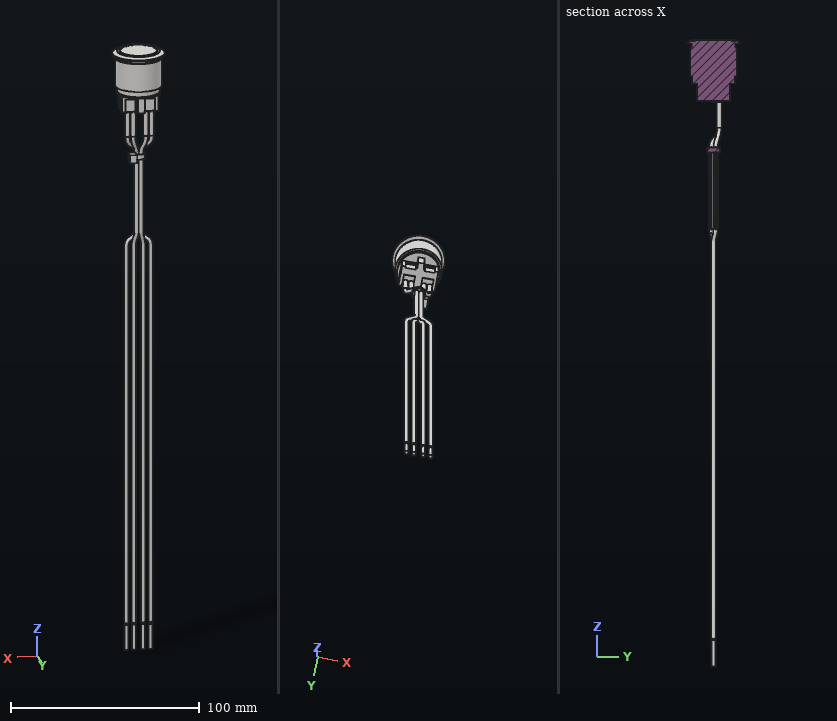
import cadquery as cq

FLANGE_DIA = 28.0
FLANGE_CREST_DIA = 23.1
FLANGE_RIM_DROP = 1.3
FLANGE_BOTTOM_Z = -2.2
BUTTON_DIA = 19.8
GROOVE_OUTER_DIA = 22.6
GROOVE_DEPTH = 0.5
NECK_DIA = 23.1
NECK_BOTTOM_Z = -4.0
BODY_DIA = 24.9
BODY_BOTTOM_Z = -19.4
COLLAR_DIA = 22.6
LIP_DIA = 23.1
LIP_HEIGHT = 0.9
COLLAR_BOTTOM_Z = -23.4

BLOCK_BOTTOM_Z = -32.5
BLOCK_WIDTH = 19.6
BLOCK_DEPTH = 11.0
RIB_WIDTH = 3.4
RIB_SPAN = 17.6
POCKET_WIDTH = 5.4
POCKET_CENTER_X = 5.2
POCKET_TOP_Z = -25.5
POCKET_DEPTH = 0.8
WINDOW_SIZE = 1.5
WINDOW_OFFSET_Y = 3.0
WINDOW_ROWS_Z = (-27.1, -30.2)
SLOT_WIDTH = 1.6
SLOT_HEIGHT = 4.9
SIDE_OPENING_DEPTH = 1.0
BOSS_X = (2.0, 8.0)
BOSS_Y = (-1.0, 4.2)
BOSS_HEIGHT = 0.7

WIRE_DIA = 2.4
WIRE_EMBED = 1.0
CORE_DIA = 1.75
FERRULE_DIA = 2.2
SLEEVE_DIA = 2.75
SLEEVE_BOTTOM_Z = -46.5
TERMINAL_INNER_X = 3.4
TERMINAL_OUTER_X = 6.5
TERMINAL_Y = 3.0
BUNDLE_OFFSET = 1.19
FAN_INNER_X = 2.5
FAN_OUTER_X = 6.5
BEND_TOP_Z = -47.0
BUNDLE_TOP_Z = -57.5
BUNDLE_BOTTOM_Z = -100.0
FAN_BOTTOM_Z = -108.0
INSULATION_END_Z = -317.2
FERRULE_TOP_Z = -318.2
CABLE_END_Z = -332.0

TIE_TOP_Z = -57.0
TIE_BOTTOM_Z = -59.8
TIE_DIA = 7.0
TIE_HEAD_X = (2.0, 5.7)
TIE_HEAD_Y = (1.5, 6.8)
TIE_HEAD_Z = (-60.5, -56.0)


def cylinder(diameter, top_z, bottom_z, x=0.0, y=0.0):
    return cq.Workplane("XY", origin=(x, y, bottom_z)).circle(diameter / 2).extrude(top_z - bottom_z)


def box_between(x_range, y_range, z_range):
    size = [high - low for low, high in (x_range, y_range, z_range)]
    corner = (x_range[0], y_range[0], z_range[0])
    return cq.Workplane("XY").box(*size, centered=False).translate(corner)


def make_head():
    profile = [
        (0, 0),
        (BUTTON_DIA / 2, 0),
        (BUTTON_DIA / 2, -GROOVE_DEPTH),
        (GROOVE_OUTER_DIA / 2, -GROOVE_DEPTH),
        (GROOVE_OUTER_DIA / 2, 0),
        (FLANGE_CREST_DIA / 2, 0),
        (FLANGE_DIA / 2, -FLANGE_RIM_DROP),
        (FLANGE_DIA / 2, FLANGE_BOTTOM_Z),
        (NECK_DIA / 2, FLANGE_BOTTOM_Z),
        (NECK_DIA / 2, NECK_BOTTOM_Z),
        (BODY_DIA / 2, NECK_BOTTOM_Z),
        (BODY_DIA / 2, BODY_BOTTOM_Z),
        (COLLAR_DIA / 2, BODY_BOTTOM_Z),
        (COLLAR_DIA / 2, COLLAR_BOTTOM_Z + LIP_HEIGHT),
        (LIP_DIA / 2, COLLAR_BOTTOM_Z + LIP_HEIGHT),
        (LIP_DIA / 2, COLLAR_BOTTOM_Z),
        (0, COLLAR_BOTTOM_Z),
    ]
    return cq.Workplane("XZ").polyline(profile).close().revolve(360, (0, 0), (0, 1))


def make_block():
    z_range = (BLOCK_BOTTOM_Z, COLLAR_BOTTOM_Z)
    half_width = BLOCK_WIDTH / 2
    half_depth = BLOCK_DEPTH / 2
    block = box_between((-half_width, half_width), (-half_depth, half_depth), z_range)
    block = block.union(
        box_between((-RIB_WIDTH / 2, RIB_WIDTH / 2), (-RIB_SPAN / 2, RIB_SPAN / 2), z_range)
    )
    for side in (-1, 1):
        boss_x = sorted(side * x for x in BOSS_X)
        boss_z = (BLOCK_BOTTOM_Z - BOSS_HEIGHT, BLOCK_BOTTOM_Z)
        block = block.union(box_between(boss_x, BOSS_Y, boss_z))

        pocket = cq.Workplane("XY").box(POCKET_WIDTH, 2 * POCKET_DEPTH, POCKET_TOP_Z - BLOCK_BOTTOM_Z)
        pocket_z = (POCKET_TOP_Z + BLOCK_BOTTOM_Z) / 2
        for face in (-1, 1):
            block = block.cut(pocket.translate((side * POCKET_CENTER_X, face * half_depth, pocket_z)))

        window = cq.Workplane("XY").box(2 * SIDE_OPENING_DEPTH, WINDOW_SIZE, WINDOW_SIZE)
        for row_z in WINDOW_ROWS_Z:
            for y in (-WINDOW_OFFSET_Y, WINDOW_OFFSET_Y):
                block = block.cut(window.translate((side * half_width, y, row_z)))
        slot = cq.Workplane("XY").box(2 * SIDE_OPENING_DEPTH, SLOT_WIDTH, SLOT_HEIGHT)
        block = block.cut(slot.translate((side * half_width, 0, sum(WINDOW_ROWS_Z) / 2)))
    return block


def make_wire(side, terminal_x, bundle_y, fan_x):
    """One wire from the terminal block through the bundle to its fanned-out end."""
    down = cq.Vector(0, 0, -1)
    bundle_x = side * BUNDLE_OFFSET
    start = cq.Vector(side * terminal_x, TERMINAL_Y, BLOCK_BOTTOM_Z + WIRE_EMBED)
    bend_top = cq.Vector(side * terminal_x, TERMINAL_Y, BEND_TOP_Z)
    bundle_top = cq.Vector(bundle_x, bundle_y, BUNDLE_TOP_Z)
    bundle_bottom = cq.Vector(bundle_x, bundle_y, BUNDLE_BOTTOM_Z)
    fan_bottom = cq.Vector(side * fan_x, 0, FAN_BOTTOM_Z)
    end = cq.Vector(side * fan_x, 0, INSULATION_END_Z)
    path = cq.Wire.assembleEdges([
        cq.Edge.makeLine(start, bend_top),
        cq.Edge.makeSpline([bend_top, bundle_top], tangents=[down, down]),
        cq.Edge.makeLine(bundle_top, bundle_bottom),
        cq.Edge.makeSpline([bundle_bottom, fan_bottom], tangents=[down, down]),
        cq.Edge.makeLine(fan_bottom, end),
    ])
    section = cq.Workplane("XY", origin=start.toTuple()).circle(WIRE_DIA / 2)
    insulation = section.sweep(cq.Workplane(path))
    sleeve = cylinder(SLEEVE_DIA, start.z, SLEEVE_BOTTOM_Z, start.x, start.y)
    core = cylinder(CORE_DIA, INSULATION_END_Z, FERRULE_TOP_Z, side * fan_x)
    ferrule = cylinder(FERRULE_DIA, FERRULE_TOP_Z, CABLE_END_Z, side * fan_x)
    return insulation.union(sleeve).union(core).union(ferrule)


def make_cable_tie():
    band = cylinder(TIE_DIA, TIE_TOP_Z, TIE_BOTTOM_Z)
    return band.union(box_between(TIE_HEAD_X, TIE_HEAD_Y, TIE_HEAD_Z))


result = make_head().union(make_block()).union(make_cable_tie())
for side in (-1, 1):
    inner = make_wire(side, TERMINAL_INNER_X, BUNDLE_OFFSET, FAN_INNER_X)
    outer = make_wire(side, TERMINAL_OUTER_X, -BUNDLE_OFFSET, FAN_OUTER_X)
    result = result.union(inner).union(outer)